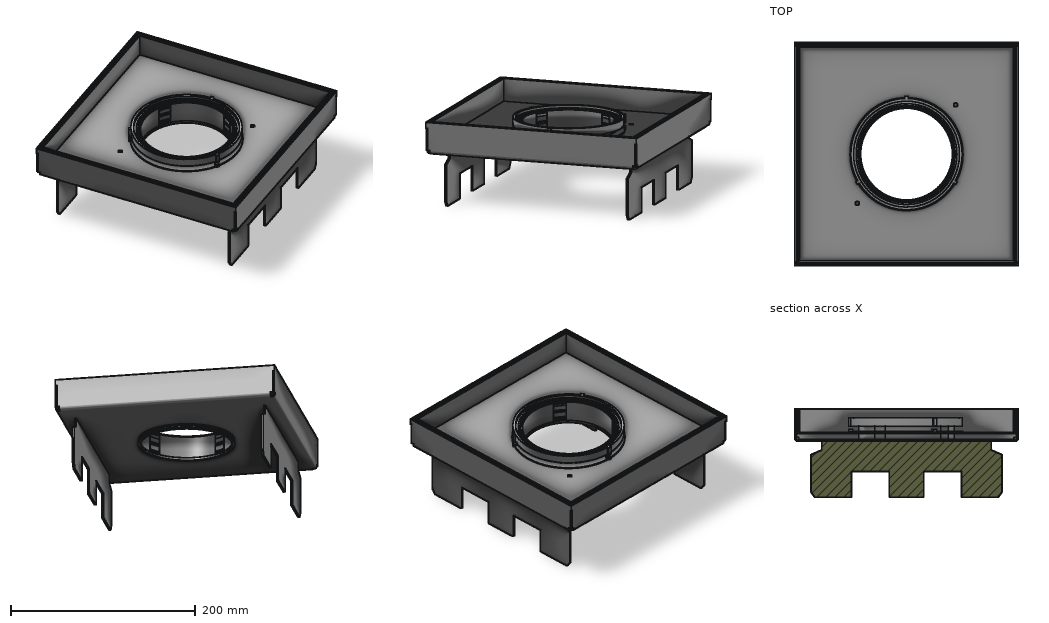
import cadquery as cq

TRAY_SIZE = 242.5
TRAY_HEIGHT = 35.2
SHEET = 2.0
BEND_RADIUS = 3.6
FRONT_CORNER_GAP = SHEET
SIDE_CORNER_GAP = 1.0
CORNER_RELIEF = 4.4
RIM_HEIGHT = 6.5

INNER_GAP = 1.7
INNER_DEPTH = 25.2
PEEP_HOLE_RADIUS = 2.2
PEEP_HOLE_OFFSET = 53.4

BORE_RADIUS = 50.0
LIP_RADIUS = 49.7
LIP_TOP = -2.2
SLEEVE_RADIUS = 51.7
SLEEVE_RIM_RADIUS = 52.5
SLEEVE_RIM_HEIGHT = 1.5
SLEEVE_DROP = 5.0
SLEEVE_TOP = 21.8
FLANGE_RADIUS = 61.4
FLANGE_THICKNESS = 1.0
FLANGE_NUB_HEIGHT = 3.0
POCKET_COUNT = 4
POCKET_START = 47.0
POCKET_END = 63.0
POCKET_DEPTH = 0.7
POCKET_TOP = 20.1

COLLAR_RADIUS = 60.5
COLLAR_BOTTOM = 16.5
COLLAR_TOP = 25.5
COLLAR_RIM_INNER_RADIUS = 57.5
COLLAR_RIM_DEPTH = 3.0
COLLAR_STEP_RADIUS = 54.8
COLLAR_GROOVE_RADIUS = 52.9
COLLAR_GROOVE_DEPTH = 1.5

NUB_ANGLES = (90, 210, 330)
NUB_WIDTH = 3.5
NUB_REACH = 62.5
NUB_ROOT = 58.2

LEG_OUTER_X = 105.5
LEG_DROP = 60.9
LEG_TOP_WIDTH = 184.3
LEG_WIDTH = 207.5
SHOULDER_TOP = 9.5
SHOULDER_BOTTOM = 14.5
LEG_CHAMFER_WIDTH = 4.1
LEG_CHAMFER_HEIGHT = 6.0
NOTCH_ROOF = 33.0
NOTCH_INNER_Y = 19.0
NOTCH_OUTER_Y = 59.5
FOOT_RADIUS = 1.5

INNER_SIZE = TRAY_SIZE - 2 * (SHEET + INNER_GAP)
INNER_FLOOR_TOP = TRAY_HEIGHT - INNER_DEPTH
INNER_FLOOR_BOTTOM = INNER_FLOOR_TOP - SHEET


def block(x_size, y_size, z_bottom, z_top):
    """Box centred on the Z axis between two heights."""
    return cq.Workplane("XY").workplane(offset=z_bottom).rect(x_size, y_size).extrude(z_top - z_bottom)


def cylinder(radius, z_bottom, z_top):
    """Cylinder on the Z axis between two heights."""
    return cq.Workplane("XY").workplane(offset=z_bottom).circle(radius).extrude(z_top - z_bottom)


def folded_channel(length):
    """U-channel along Y: floor, two rounded folds and two full-height walls."""
    outside = block(TRAY_SIZE, length, 0, TRAY_HEIGHT)
    outside = outside.edges("|Y and <Z").fillet(BEND_RADIUS)
    inside = block(TRAY_SIZE - 2 * SHEET, length, SHEET, TRAY_HEIGHT)
    inside = inside.edges("|Y and <Z").fillet(BEND_RADIUS - SHEET)
    return outside.cut(inside)


def wall_pair(length, z_bottom):
    """Left and right wall plates of the given length along Y."""
    outside = block(TRAY_SIZE, length, z_bottom, TRAY_HEIGHT)
    return outside.cut(block(TRAY_SIZE - 2 * SHEET, length, z_bottom, TRAY_HEIGHT))


def quarter_turn(shape):
    return shape.rotate((0, 0, 0), (0, 0, 1), 90)


def make_outer_tray():
    channel = folded_channel(TRAY_SIZE - 2 * CORNER_RELIEF)
    side_walls = wall_pair(TRAY_SIZE - 2 * SIDE_CORNER_GAP, CORNER_RELIEF)
    front_walls = wall_pair(TRAY_SIZE - 2 * FRONT_CORNER_GAP, CORNER_RELIEF)
    rims = wall_pair(TRAY_SIZE, TRAY_HEIGHT - RIM_HEIGHT)
    tray = channel.union(side_walls).union(rims)
    for turned_part in (channel, front_walls, rims):
        tray = tray.union(quarter_turn(turned_part))
    return tray.cut(cylinder(SLEEVE_RADIUS, 0, SHEET))


def make_inner_tray():
    opening = INNER_SIZE - 2 * SHEET
    tray = block(INNER_SIZE, INNER_SIZE, INNER_FLOOR_BOTTOM, TRAY_HEIGHT)
    tray = tray.cut(block(opening, opening, INNER_FLOOR_TOP, TRAY_HEIGHT))
    tray = tray.cut(cylinder(SLEEVE_RADIUS, INNER_FLOOR_BOTTOM, INNER_FLOOR_TOP))
    peep_hole = cylinder(PEEP_HOLE_RADIUS, INNER_FLOOR_BOTTOM, INNER_FLOOR_TOP)
    for side in (-1, 1):
        tray = tray.cut(peep_hole.translate((side * PEEP_HOLE_OFFSET, side * PEEP_HOLE_OFFSET, 0)))
    return tray


def add_nubs(ring, z_bottom, z_top):
    """Join the three outward nubs to a ring."""
    nub = block(NUB_REACH - NUB_ROOT, NUB_WIDTH, z_bottom, z_top)
    nub = nub.translate(((NUB_REACH + NUB_ROOT) / 2, 0, 0))
    for angle in NUB_ANGLES:
        ring = ring.union(nub.rotate((0, 0, 0), (0, 0, 1), angle))
    return ring


def bore_pocket(turn):
    """Sector that, cut from the sleeve, leaves a shallow pocket in the bore wall."""
    sector_angle = POCKET_END - POCKET_START
    pocket_radius = BORE_RADIUS + POCKET_DEPTH
    profile = cq.Workplane("XZ").moveTo(0, LIP_TOP).lineTo(pocket_radius, LIP_TOP)
    profile = profile.lineTo(pocket_radius, POCKET_TOP).lineTo(0, POCKET_TOP).close()
    sector = profile.revolve(sector_angle, (0, 0, 0), (0, 1, 0))
    return sector.rotate((0, 0, 0), (0, 0, 1), POCKET_START + turn)


def make_sleeve():
    flange_top = INNER_FLOOR_TOP + FLANGE_THICKNESS
    flange = cylinder(FLANGE_RADIUS, INNER_FLOOR_TOP, flange_top)
    flange = add_nubs(flange, INNER_FLOOR_TOP, INNER_FLOOR_TOP + FLANGE_NUB_HEIGHT)
    upper_rim = cylinder(SLEEVE_RIM_RADIUS, -SLEEVE_RIM_HEIGHT, 0)
    lower_rim = cylinder(SLEEVE_RIM_RADIUS, -SLEEVE_DROP, -SLEEVE_DROP + SLEEVE_RIM_HEIGHT)
    sleeve = cylinder(SLEEVE_RADIUS, -SLEEVE_DROP, SLEEVE_TOP)
    sleeve = sleeve.union(flange).union(upper_rim).union(lower_rim)
    sleeve = sleeve.cut(cylinder(LIP_RADIUS, -SLEEVE_DROP, LIP_TOP))
    sleeve = sleeve.cut(cylinder(BORE_RADIUS, LIP_TOP, SLEEVE_TOP))
    for index in range(POCKET_COUNT):
        sleeve = sleeve.cut(bore_pocket(index * 360 / POCKET_COUNT))
    return sleeve


def make_collar():
    collar = add_nubs(cylinder(COLLAR_RADIUS, COLLAR_BOTTOM, COLLAR_TOP), COLLAR_BOTTOM, COLLAR_TOP)
    collar = collar.cut(cylinder(COLLAR_RIM_INNER_RADIUS, COLLAR_TOP - COLLAR_RIM_DEPTH, COLLAR_TOP))
    collar = collar.cut(cylinder(COLLAR_STEP_RADIUS, SLEEVE_TOP, COLLAR_TOP))
    collar = collar.cut(cylinder(COLLAR_GROOVE_RADIUS, SLEEVE_TOP - COLLAR_GROOVE_DEPTH, SLEEVE_TOP))
    return collar.cut(cylinder(SLEEVE_RADIUS, COLLAR_BOTTOM, COLLAR_TOP))


def make_leg(side):
    """Notched plate in the YZ plane, on the +X (side 1) or -X (side -1) half."""
    half_top = LEG_TOP_WIDTH / 2
    half_width = LEG_WIDTH / 2
    half_outline = [
        (half_top, 0),
        (half_top, -SHOULDER_TOP),
        (half_width, -SHOULDER_BOTTOM),
        (half_width, -LEG_DROP + LEG_CHAMFER_HEIGHT),
        (half_width - LEG_CHAMFER_WIDTH, -LEG_DROP),
        (NOTCH_OUTER_Y, -LEG_DROP),
        (NOTCH_OUTER_Y, -NOTCH_ROOF),
        (NOTCH_INNER_Y, -NOTCH_ROOF),
        (NOTCH_INNER_Y, -LEG_DROP),
    ]
    mirrored = [(-y, z) for y, z in reversed(half_outline)]
    leg = cq.Workplane("YZ").polyline(half_outline + mirrored).close().extrude(SHEET)
    foot_corners = cq.selectors.BoxSelector(
        (-SHEET, -NOTCH_OUTER_Y - FOOT_RADIUS, -LEG_DROP - FOOT_RADIUS),
        (2 * SHEET, NOTCH_OUTER_Y + FOOT_RADIUS, -LEG_DROP + FOOT_RADIUS),
    )
    leg = leg.edges("|X").edges(foot_corners).fillet(FOOT_RADIUS)
    leg_middle_x = side * (LEG_OUTER_X - SHEET / 2)
    return leg.translate((leg_middle_x - SHEET / 2, 0, 0))


outer_tray = make_outer_tray()
inner_tray = make_inner_tray()
sleeve = make_sleeve()
collar = make_collar()
legs = [make_leg(side) for side in (-1, 1)]

result = cq.Compound.makeCompound(
    [outer_tray.val(), inner_tray.val(), sleeve.val(), collar.val(), *[leg.val() for leg in legs]]
)